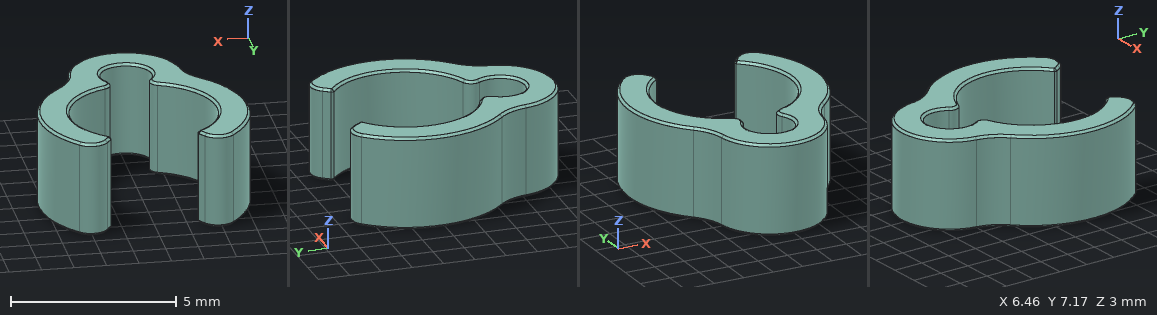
import cadquery as cq
import math

height = 3.0
ring_diameter = 6.46
ring_radius = ring_diameter / 2
bore_radius = 2.265
wall = ring_radius - bore_radius
hole_radius = 0.795
boss_radius = hole_radius + wall
boss_y = -3.03
mouth_half_angle = 35.0
mouth_width = 2.69
tip_radius = 0.56
waist_radius = 1.58
lip_radius = 0.315
edge_chamfer = 0.08


def cylinder(radius, center_y=0):
    return cq.Workplane("XY").center(0, center_y).circle(radius).extrude(height)


def circle_crossing(radius_at_origin, radius_at_boss):
    """Positive-X crossing of a circle at the origin and one at the boss centre."""
    y = (radius_at_origin**2 - radius_at_boss**2 + boss_y**2) / (2 * boss_y)
    return math.sqrt(radius_at_origin**2 - y**2), y


def fillet_vertical_pair(body, point, radius):
    """Round the vertical edge at a point and its mirror image across X = 0."""
    x, y = point
    for side in (-1, 1):
        edge = cq.selectors.NearestToPointSelector((side * x, y, height / 2))
        body = body.edges("|Z").edges(edge).fillet(radius)
    return body


body = cylinder(ring_radius).union(cylinder(boss_radius, boss_y))
body = fillet_vertical_pair(body, circle_crossing(ring_radius, boss_radius), waist_radius)

body = body.cut(cylinder(bore_radius)).cut(cylinder(hole_radius, boss_y))
body = fillet_vertical_pair(body, circle_crossing(bore_radius, hole_radius), lip_radius)

mouth_angle = math.radians(mouth_half_angle)
wedge_y = 2 * ring_radius
wedge_x = wedge_y * math.tan(mouth_angle)
wedge = (
    cq.Workplane("XY")
    .polyline([(0, 0), (wedge_x, wedge_y), (-wedge_x, wedge_y)])
    .close()
    .extrude(height)
)
tip_trim = cq.Workplane("XY").center(0, ring_radius).rect(mouth_width, 2 * ring_radius).extrude(height)
body = body.cut(wedge).cut(tip_trim)
tip_corner = (ring_radius * math.sin(mouth_angle), ring_radius * math.cos(mouth_angle))
body = fillet_vertical_pair(body, tip_corner, tip_radius)

result = body.faces("<Z or >Z").chamfer(edge_chamfer)